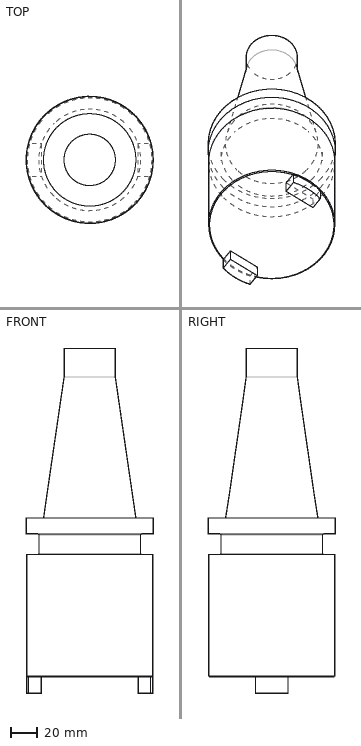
import cadquery as cq

total_height = 264.3
key_height = 12.7
body_top = 106.5
flange_bottom = 122.0
flange_top = 134.5
taper_top = 242.4

body_diameter = 96.7
neck_diameter = 78.0
flange_diameter = 97.5
tip_diameter = 39.5
taper_ratio = 7 / 24
taper_base_diameter = tip_diameter + taper_ratio * (taper_top - flange_top)

body_chamfer = 0.8
neck_fillet = 0.8
key_width = 25.0
key_inner_gap = 74.0
key_outer_span = body_diameter


def cylinder(diameter, bottom, top):
    return cq.Workplane("XY").workplane(offset=bottom).circle(diameter / 2).extrude(top - bottom)


def taper():
    return (
        cq.Workplane("XY")
        .workplane(offset=flange_top)
        .circle(taper_base_diameter / 2)
        .workplane(offset=taper_top - flange_top)
        .circle(tip_diameter / 2)
        .loft(ruled=True)
    )


def drive_keys():
    """Two opposite keys on the X axis, rounded outside to their outer span."""
    bar = cq.Workplane("XY").box(key_outer_span, key_width, key_height, centered=(True, True, False))
    gap = cq.Workplane("XY").box(key_inner_gap, key_width, key_height, centered=(True, True, False))
    return bar.cut(gap).intersect(cylinder(key_outer_span, 0, key_height))


body = cylinder(body_diameter, key_height, body_top).faces("<Z").edges().chamfer(body_chamfer)
neck = cylinder(neck_diameter, body_top, flange_bottom)
flange = cylinder(flange_diameter, flange_bottom, flange_top)
tip = cylinder(tip_diameter, taper_top, total_height)

spindle = body.union(neck).union(flange)
spindle = spindle.edges("%CIRCLE").edges(cq.selectors.RadiusNthSelector(0)).fillet(neck_fillet)

result = spindle.union(taper()).union(tip).union(drive_keys())